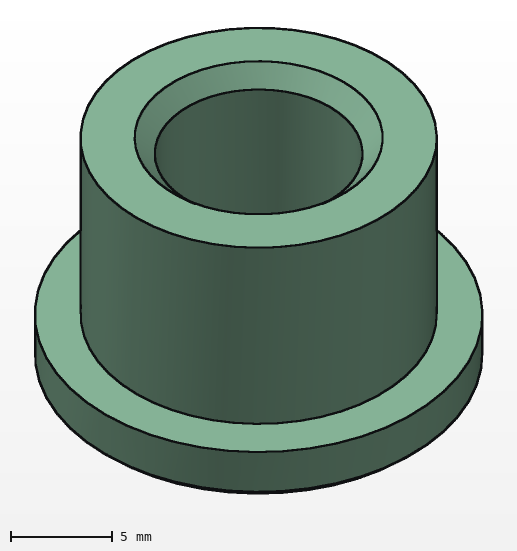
import cadquery as cq

flange_diameter = 22.0
flange_thickness = 3.0
body_diameter = 17.51
total_height = 14.0
bore_diameter = 10.2
bore_chamfer = 1.0
flange_edge_chamfer = 0.5


def make_flange():
    """Disc at the base, with its lower outer edge chamfered."""
    disc = cq.Workplane("XY").circle(flange_diameter / 2).extrude(flange_thickness)
    return disc.faces("<Z").edges().chamfer(flange_edge_chamfer)


def make_body():
    """Cylindrical sleeve standing on the flange axis."""
    return cq.Workplane("XY").circle(body_diameter / 2).extrude(total_height)


def cut_bore(bushing):
    """Through bore with a lead-in chamfer at the top."""
    bored = bushing.faces(">Z").workplane().hole(bore_diameter)
    bore_rim = bored.faces(">Z").edges(cq.selectors.RadiusNthSelector(0))
    return bore_rim.chamfer(bore_chamfer)


result = cut_bore(make_flange().union(make_body()))